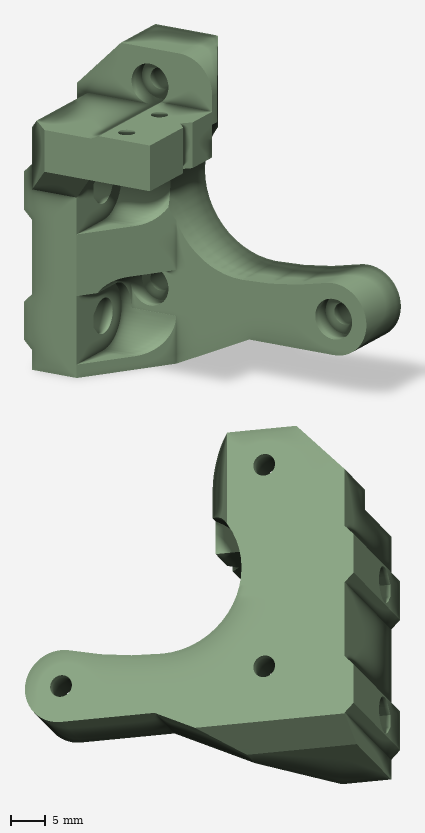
import cadquery as cq
import math

total_width = 50.15
height = 47.75
total_depth = 28.0
plate_depth = 10.0
block_depth = 23.0

hole_pitch = 31.0
hole_diameter = 3.3
counterbore_diameter = 6.2
counterbore_radius = counterbore_diameter / 2
counterbore_depth = 3.0
end_radius = 5.5
arm_end_x = total_width - end_radius
column_hole_x = arm_end_x - hole_pitch
lower_hole_z = 11.3
upper_hole_z = height - end_radius
opening_radius = 12.05
opening_x = column_hole_x + hole_pitch / 2
opening_z = lower_hole_z + hole_pitch / 2

rib_height = 1.35
block_left = rib_height
block_right = 8.9
gusset_right = 18.1
top_bevel = 7.35
rib_base_width = 8.65
screw_pitch = 20.0
lower_screw_z = 7.3
screw_heights = [lower_screw_z, lower_screw_z + screw_pitch]
screw_y = -15.3
screw_radius = 2.7
screw_flat_offset = 2.9
screw_slot_radius = 5.25
arm_slope_end_x = 30.4
foot_bevel_depth = 5.9
foot_bevel_height = 2.85

shelf_right = 24.1
shelf_bottom = 32.7
shelf_top = 39.7
shelf_low_top = upper_hole_z - counterbore_radius
shelf_edge_bevel = 1.8
overhang = total_depth - block_depth
shelf_hole_x = 18.15
shelf_hole_rows = [-15.0, -24.45]
shelf_hole_diameter = 1.6
shelf_hole_mouth_diameter = 2.5
notch_depth = 1.35
notch_y = -17.0
rear_bevel_x = 19.3
rear_bevel_depth = 8.55


def prism_y(profile, front, back=0):
    """Extrude an XZ wire from Y = -back to Y = -front."""
    return profile.extrude(front - back).translate((0, -back, 0))


def xz_polygon(points):
    return cq.Workplane("XZ").polyline(points).close()


def xy_prism(points, bottom, top):
    return cq.Workplane("XY").workplane(offset=bottom).polyline(points).close().extrude(top - bottom)


def cylinder_y(x, z, radius, front, back=0):
    return prism_y(cq.Workplane("XZ").center(x, z).circle(radius), front, back)


def make_plate():
    run = arm_end_x - opening_x
    opening_bottom = opening_z - opening_radius
    rise = opening_bottom - lower_hole_z
    arc_radius = (run**2 + rise**2 - end_radius**2) / (2 * (end_radius - rise))
    arc_center_z = opening_bottom + arc_radius
    angle = math.atan2(run, arc_center_z - lower_hole_z)
    tangent = (arm_end_x - end_radius * math.sin(angle), lower_hole_z + end_radius * math.cos(angle))
    arc_middle = (
        opening_x + arc_radius * math.sin(angle / 2),
        arc_center_z - arc_radius * math.cos(angle / 2),
    )
    diagonal = end_radius * math.sqrt(0.5)
    corner_x = shelf_right - end_radius
    outline = (
        cq.Workplane("XZ")
        .moveTo(block_left, 0)
        .lineTo(gusset_right, 0)
        .lineTo(arm_slope_end_x, lower_hole_z - end_radius)
        .lineTo(arm_end_x, lower_hole_z - end_radius)
        .threePointArc((arm_end_x + end_radius, lower_hole_z), tangent)
        .threePointArc(arc_middle, (opening_x, opening_bottom))
        .lineTo(opening_x, opening_z)
        .lineTo(shelf_right, opening_z)
        .lineTo(shelf_right, upper_hole_z)
        .threePointArc((corner_x + diagonal, upper_hole_z + diagonal), (corner_x, height))
        .lineTo(block_left + top_bevel, height)
        .lineTo(block_left, height - top_bevel)
        .close()
    )
    return prism_y(outline, plate_depth)


def make_block():
    profile = [
        (block_left, 0),
        (gusset_right, 0),
        (gusset_right, -plate_depth),
        (block_right, -block_depth),
        (block_left, -block_depth),
    ]
    return xy_prism(profile, 0, shelf_bottom)


def make_rib(z):
    half = rib_base_width / 2
    tip = half - rib_height
    points = [(block_left, z - half), (0, z - tip), (0, z + tip), (block_left, z + half)]
    return prism_y(xz_polygon(points), block_depth)


def make_shelf():
    profile = [
        (block_left, shelf_bottom - overhang),
        (block_left, shelf_low_top - shelf_edge_bevel),
        (block_left + shelf_edge_bevel, shelf_low_top),
        (column_hole_x, shelf_low_top),
        (column_hole_x, shelf_top),
        (shelf_right, shelf_top),
        (shelf_right, shelf_bottom),
        (block_right + overhang, shelf_bottom),
        (block_right + overhang, shelf_bottom - overhang),
    ]
    shelf = prism_y(xz_polygon(profile), total_depth, plate_depth)
    clearance = [
        (block_right, -plate_depth),
        (block_right, -block_depth),
        (block_right + overhang, -total_depth),
        (block_right + overhang, -plate_depth),
    ]
    shelf = shelf.cut(xy_prism(clearance, shelf_bottom - overhang, shelf_bottom))
    underside = (
        cq.Workplane("YZ")
        .polyline([
            (-block_depth, shelf_bottom - overhang),
            (-total_depth, shelf_bottom),
            (-total_depth, shelf_bottom - overhang),
        ])
        .close()
        .extrude(shelf_right)
    )
    corner = [
        (block_left, -block_depth),
        (block_left + overhang, -total_depth),
        (block_left, -total_depth),
    ]
    shelf = shelf.cut(underside).cut(xy_prism(corner, 0, height))
    notch = [
        (shelf_right, notch_y - notch_depth),
        (shelf_right - notch_depth, notch_y),
        (shelf_right, notch_y + notch_depth),
    ]
    return shelf.cut(xy_prism(notch, 0, height))


def screw_hole(z):
    """Round hole along X whose front side rises at 45 degrees to a flat roof."""
    shoulder = screw_radius * math.sqrt(0.5)
    flat_half = screw_radius * math.sqrt(2) - screw_flat_offset
    roof = [
        (screw_y, z),
        (screw_y - shoulder, z - shoulder),
        (screw_y - screw_flat_offset, z - flat_half),
        (screw_y - screw_flat_offset, z + flat_half),
        (screw_y - shoulder, z + shoulder),
    ]
    bore = cq.Workplane("YZ").center(screw_y, z).circle(screw_radius).extrude(gusset_right)
    return bore.union(cq.Workplane("YZ").polyline(roof).close().extrude(gusset_right))


def screw_slot(z):
    """Round-bottomed slot in the gusset, open to the front of the block."""
    return (
        cq.Workplane("YZ")
        .workplane(offset=block_right)
        .moveTo(-block_depth, z - screw_slot_radius)
        .lineTo(screw_y, z - screw_slot_radius)
        .threePointArc((screw_y + screw_slot_radius, z), (screw_y, z + screw_slot_radius))
        .lineTo(-block_depth, z + screw_slot_radius)
        .close()
        .extrude(gusset_right - block_right)
    )


def plate_hole(x, z):
    bore = cylinder_y(x, z, hole_diameter / 2, plate_depth)
    return bore.union(
        cylinder_y(x, z, counterbore_radius, total_depth, plate_depth - counterbore_depth)
    )


def shelf_hole(y):
    """Tapered hole through the shelf, widest at the top."""
    return (
        cq.Workplane("XY")
        .workplane(offset=shelf_top)
        .center(shelf_hole_x, y)
        .circle(shelf_hole_mouth_diameter / 2)
        .workplane(offset=shelf_bottom - shelf_top)
        .circle(shelf_hole_diameter / 2)
        .loft()
    )


def gusset_pocket():
    """Clearance through the gusset, rounded around the lower column hole's counterbore."""
    left = column_hole_x - counterbore_radius
    diagonal = counterbore_radius * math.sqrt(0.5)
    top = lower_hole_z + counterbore_radius
    outline = (
        cq.Workplane("XZ")
        .moveTo(left, lower_screw_z)
        .lineTo(gusset_right, lower_screw_z)
        .lineTo(gusset_right, top)
        .lineTo(column_hole_x, top)
        .threePointArc((column_hole_x - diagonal, lower_hole_z + diagonal), (left, lower_hole_z))
        .close()
    )
    return prism_y(outline, block_depth, plate_depth)


def foot_bevel():
    return (
        cq.Workplane("YZ")
        .polyline([(0, 0), (-foot_bevel_depth, 0), (0, foot_bevel_height)])
        .close()
        .extrude(arm_slope_end_x)
    )


def rear_bevel():
    points = [(rear_bevel_x, 0), (shelf_right, -rear_bevel_depth), (shelf_right, 0)]
    return xy_prism(points, opening_z, height)


body = make_plate().union(make_block())
for screw_z in screw_heights:
    body = body.union(make_rib(screw_z))
    body = body.cut(screw_slot(screw_z))

body = body.cut(gusset_pocket())
body = body.cut(cylinder_y(opening_x, opening_z, opening_radius, block_depth))
body = body.cut(rear_bevel()).cut(foot_bevel())
body = body.union(make_shelf())
for screw_z in screw_heights:
    body = body.cut(screw_hole(screw_z))
for hole_x, hole_z in [
    (column_hole_x, lower_hole_z),
    (column_hole_x, upper_hole_z),
    (arm_end_x, lower_hole_z),
]:
    body = body.cut(plate_hole(hole_x, hole_z))
for row_y in shelf_hole_rows:
    body = body.cut(shelf_hole(row_y))

result = body